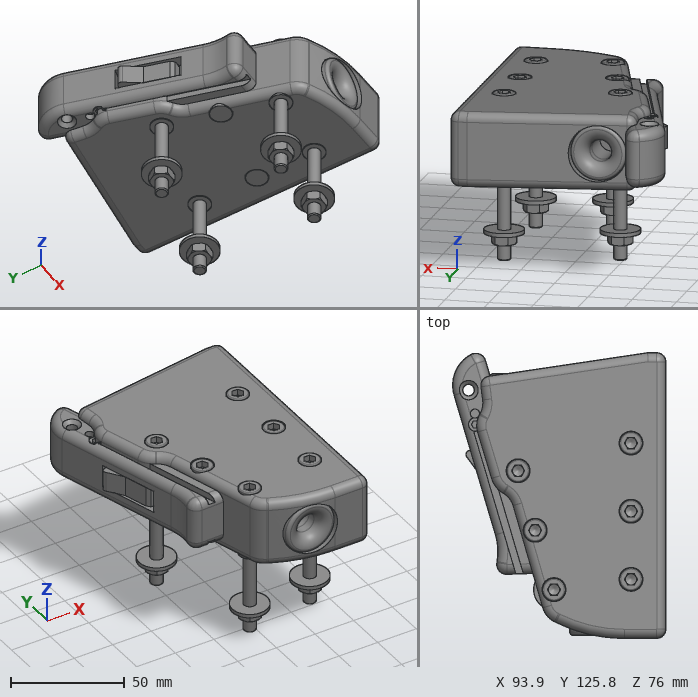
import cadquery as cq
import math


body_height = 34.0
body_round = 4.0
body_corner = body_round + 0.1
right_x = 15.36
front_y = -55.98
rear_y = 69.8

lever_height = 26.0
lever_angle = 16.5
lever_round = 4.4
lever_corner = lever_round + 0.1
lever_front_y = -28.0
lever_heel_y = -27.2
lever_toe_x = -60.0
lever_tip = (-65.6, 71.7)
bend_y = -16.2
bend_radius = 26.0
nose_vertex = (-81.41, 62.92)
nose_radius = 15.4

pivot_center = (-71.5, 53.3)
pivot_hole_diameter = 5.0
pivot_sink_diameter = 8.5

groove_width = 3.2
groove_depth = 3.0
groove_front_x = -48.9
clamp_screw_y = 38.2
clamp_screw_diameter = 6.0
clamp_screw_recess = 0.8
clamp_screw_across_flats = 3.0
locating_hole_diameter = 4.0
locating_hole_center = (-68.7, 43.0)

window_rear_y = 28.3
window_front_y = -0.6
window_height = 11.2
window_depth = 5.0
switch_height = 10.0
switch_ridge = 2.3
switch_sink = 0.8

bolt_diameter = 6.0
bolt_end_z = -58.5
bolt_end_chamfer = 0.5
head_diameter = 10.0
head_proud = 0.5
head_edge_round = 0.5
head_pocket_diameter = 10.5
head_pocket_depth = 2.5
hex_across_flats = 5.0
hex_depth = 3.0
hex_cone_height = 1.5

washer_diameter = 18.0
washer_thickness = 1.8
washer_top_z = -44.6
nut_across_flats = 10.0
nut_height = 4.8
nut_chamfer = 0.6

row_pitch = 30.0
long_bolts = [(0, row_pitch), (0, -row_pitch), (-49.7, 17.8), (-33.9, -34.5)]
short_screws = [(0, 0), (-42.2, -8.4)]

front_grommet = (-14.5, -54.7)
rear_grommet = (-49.7, 60.6)
grommet_diameter = 25.0
grommet_pocket_diameter = 25.5
grommet_crest_diameter = 21.8
grommet_hole_diameter = 10.0
grommet_length = 10.0
grommet_hole_depth = 25.0
grommet_pocket_margin = 5.0

half_body = body_height / 2
half_lever = lever_height / 2
lean = math.radians(lever_angle)
along_lever = (math.sin(lean), -math.cos(lean), 0)


def rounded_slab(corners, height):
    """Plate centred on Z = 0 over a polygon of (x, y, corner radius) points."""
    count = len(corners)
    segments = []
    for index, (x, y, radius) in enumerate(corners):
        here = cq.Vector(x, y)
        before = (cq.Vector(*corners[index - 1][:2]) - here).normalized()
        after = (cq.Vector(*corners[(index + 1) % count][:2]) - here).normalized()
        half_angle = before.getAngle(after) / 2
        setback = radius / math.tan(half_angle)
        bisector = (before + after).normalized()
        nearest = here + bisector * (radius / math.sin(half_angle) - radius)
        segments.append((here + before * setback, nearest, here + after * setback, radius))
    outline = cq.Workplane("XY").moveTo(*segments[-1][2].toTuple()[:2])
    for start, middle, end, radius in segments:
        outline = outline.lineTo(start.x, start.y)
        if radius:
            outline = outline.threePointArc((middle.x, middle.y), (end.x, end.y))
    return outline.close().extrude(height / 2, both=True)


def cylinder(center, diameter, bottom_z, top_z):
    """Upright cylinder between two heights."""
    return (
        cq.Workplane("XY", origin=(0, 0, bottom_z))
        .center(*center)
        .circle(diameter / 2)
        .extrude(top_z - bottom_z)
    )


def hexagon(center, across_flats, bottom_z, top_z):
    """Hexagonal prism with two corners on the X direction."""
    return (
        cq.Workplane("XY", origin=(0, 0, bottom_z))
        .center(*center)
        .polygon(6, across_flats / math.cos(math.pi / 6))
        .extrude(top_z - bottom_z)
    )


def make_body():
    """Housing plate with rounded rims; each corner gives x, y and its plan radius."""
    corners = [
        (right_x, front_y, body_corner),
        (-18.85, front_y, 68.0),
        (-37.6, -46.7, 10.0),
        (-52.9, 5.9, 9.0),
        (-60.1, 10.2, 11.5),
        (-68.7, 38.8, 9.8),
        (-64.9, 45.7, 10.0),
        (-66.6, 58.8, body_corner),
        (7.3, rear_y, 0),
        (right_x, rear_y, body_corner),
    ]
    return rounded_slab(corners, body_height).faces("|Z").edges().fillet(body_round)


def on_lever_face(y):
    """Point on the straight outer face of the lever at a given Y."""
    return (nose_vertex[0] + (nose_vertex[1] - y) * math.tan(lean), y)


def make_lever():
    """Lever with rounded rims, its inner side buried in the housing."""
    heel_x = lever_tip[0] + (lever_tip[1] - lever_heel_y) * math.tan(lean)
    corners = [
        (*nose_vertex, nose_radius),
        (*on_lever_face(bend_y), bend_radius),
        (lever_toe_x, lever_front_y, lever_corner),
        (heel_x, lever_heel_y, lever_corner),
        (*lever_tip, lever_corner),
    ]
    return rounded_slab(corners, lever_height).faces("|Z").edges().fillet(lever_round)


def lever_frame(y):
    """Frame on the lever face: x runs forward along the lever, y outward from it."""
    return cq.Plane(
        origin=(*on_lever_face(y), 0),
        xDir=along_lever,
        normal=(0, 0, -1),
    )


def pivot_cutter():
    """Pin hole through the lever, countersunk at both ends."""
    chamfer_clearance = 0.01
    sink_depth = (pivot_sink_diameter - pivot_hole_diameter) / 2
    hole = cylinder(pivot_center, pivot_hole_diameter, -half_body, half_body)
    sink = cylinder(pivot_center, pivot_sink_diameter, half_lever - sink_depth, half_lever)
    sink = sink.faces("<Z").edges().chamfer(sink_depth - chamfer_clearance)
    return hole.union(sink).union(sink.mirror("XY"))


def groove_cutter():
    """Cable groove in the top of the lever, ending at a recessed socket screw."""
    floor_z = half_lever - groove_depth
    screw_x = groove_front_x - (clamp_screw_y - lever_front_y) * math.tan(lean)
    screw_center = (screw_x, clamp_screw_y)
    length = (clamp_screw_y - lever_front_y) / math.cos(lean)
    frame = cq.Plane(origin=(*screw_center, floor_z), xDir=along_lever, normal=(0, 0, 1))
    channel = (
        cq.Workplane(frame)
        .center((length + groove_width + clamp_screw_diameter / 2) / 2, 0)
        .rect(length + groove_width - clamp_screw_diameter / 2, groove_width)
        .extrude(groove_depth)
    )
    recess = cylinder(screw_center, clamp_screw_diameter, half_lever - clamp_screw_recess, half_lever)
    socket = hexagon(screw_center, clamp_screw_across_flats, floor_z, half_lever)
    locating_hole = cylinder(locating_hole_center, locating_hole_diameter, floor_z, half_lever)
    return channel.union(recess).union(socket).union(locating_hole)


def window_cutter():
    """Rectangular window in the outer face of the lever."""
    length = (window_rear_y - window_front_y) / math.cos(lean)
    return (
        cq.Workplane(lever_frame(window_rear_y))
        .center(length / 2, 0)
        .rect(length, 2 * window_depth)
        .extrude(window_height / 2, both=True)
    )


def make_switch():
    """Rocker in the lever window: a raised thumb ridge at the rear, sunk towards the front."""
    ridge_rear = 1.5
    ridge_round_middle = (2.2, switch_ridge - 0.2)
    ridge_crest = 4.0
    slope_end = 12.8
    flat_end = 24.8
    front_step = (27.0, -switch_sink - 1.0)
    front_end = 28.0
    return (
        cq.Workplane(lever_frame(window_rear_y))
        .moveTo(ridge_rear, -window_depth)
        .lineTo(ridge_rear, switch_ridge - 1.5)
        .threePointArc(ridge_round_middle, (ridge_crest, switch_ridge))
        .lineTo(slope_end, -switch_sink)
        .lineTo(flat_end, -switch_sink)
        .lineTo(*front_step)
        .lineTo(front_end, -window_depth)
        .close()
        .extrude(switch_height / 2, both=True)
    )


def head_socket(center, top_z):
    """Hexagon recess that ends in a shallow cone."""
    flat_z = top_z - hex_depth
    cone = cq.Solid.makeCone(
        0,
        hex_across_flats / 2,
        hex_cone_height,
        pnt=cq.Vector(*center, flat_z - hex_cone_height),
    )
    return hexagon(center, hex_across_flats, flat_z, top_z).union(cq.Workplane(cone))


def add_head(part, center, top_z):
    """Socket head standing in a slightly wider pocket in the top of the housing."""
    floor_z = half_body - head_pocket_depth
    head = cylinder(center, head_diameter, floor_z, top_z)
    head = head.faces(">Z").edges().fillet(head_edge_round)
    pocket = cylinder(center, head_pocket_diameter, floor_z, half_body)
    return part.cut(pocket).union(head).cut(head_socket(center, top_z))


def add_plug(part, center):
    """Screw end lying flush in a slightly wider pocket in the bottom of the housing."""
    ceiling_z = head_pocket_depth - half_body
    pocket = cylinder(center, head_pocket_diameter, -half_body, ceiling_z)
    return part.cut(pocket).union(cylinder(center, head_diameter, -half_body, ceiling_z))


def make_bolt_tail(center):
    """Collar, shank, washer and nut below the housing."""
    collar_top_z = head_pocket_depth - half_body
    collar = cylinder(center, head_pocket_diameter, -half_body - head_proud, collar_top_z)
    shank = cylinder(center, bolt_diameter, bolt_end_z, -half_body)
    shank = shank.faces("<Z").edges().chamfer(bolt_end_chamfer)
    washer_bottom_z = washer_top_z - washer_thickness
    washer = cylinder(center, washer_diameter, washer_bottom_z, washer_top_z)
    nut_bottom_z = washer_bottom_z - nut_height
    nut_blank = cylinder(center, nut_across_flats / math.cos(math.pi / 6), nut_bottom_z, washer_bottom_z)
    nut_blank = nut_blank.faces("|Z").edges().chamfer(nut_chamfer)
    nut = hexagon(center, nut_across_flats, nut_bottom_z, washer_bottom_z).intersect(nut_blank)
    return collar.union(shank).union(washer).union(nut)


def add_grommet(part, face_center, outward_y):
    """Flared bushing standing in a round pocket in the front or rear wall."""
    frame = cq.Plane(origin=(*face_center, 0), xDir=(1, 0, 0), normal=(0, outward_y, 0))
    outer_round = (grommet_diameter - grommet_crest_diameter) / 2
    flare = (grommet_crest_diameter - grommet_hole_diameter) / 2
    hole_radius = grommet_hole_diameter / 2
    outer_radius = grommet_diameter / 2
    crest_radius = grommet_crest_diameter / 2
    quarter = math.sqrt(0.5)
    profile = (
        cq.Workplane("XY")
        .moveTo(hole_radius, -grommet_length)
        .lineTo(outer_radius, -grommet_length)
        .lineTo(outer_radius, -outer_round)
        .threePointArc(
            (crest_radius + outer_round * quarter, outer_round * (quarter - 1)),
            (crest_radius, 0),
        )
        .threePointArc(
            (crest_radius - flare * quarter, flare * (quarter - 1)),
            (hole_radius, -flare),
        )
        .close()
    )
    ring = profile.revolve(360, (0, 0, 0), (0, 1, 0)).rotate((0, 0, 0), (1, 0, 0), 90)
    bushing = cq.Workplane(ring.val().moved(cq.Location(frame)))
    floor = cq.Workplane(frame).workplane(offset=-grommet_length)
    pocket = floor.circle(grommet_pocket_diameter / 2).extrude(grommet_length + grommet_pocket_margin)
    bore = cq.Workplane(frame).circle(hole_radius).extrude(-grommet_hole_depth)
    return part.cut(pocket).union(bushing).cut(bore)


grooves = groove_cutter().union(groove_cutter().mirror("XY"))
lever = make_lever().cut(pivot_cutter()).cut(grooves).cut(window_cutter())
result = make_body().union(lever).union(make_switch())
result = add_grommet(result, front_grommet, -1)
result = add_grommet(result, rear_grommet, 1)
for bolt in long_bolts:
    result = add_head(result, bolt, half_body + head_proud)
    result = result.union(make_bolt_tail(bolt))
for screw in short_screws:
    result = add_head(result, screw, half_body)
    result = add_plug(result, screw)